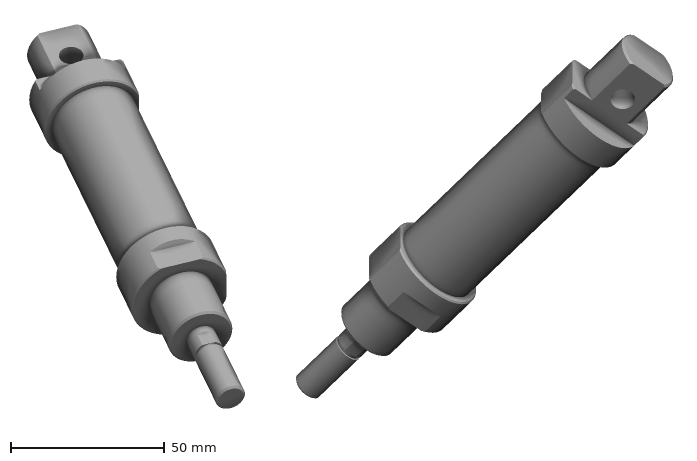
import cadquery as cq


collar_rear_x = 20.0
step_x = 25.2
barrel_start_x = 36.0
barrel_end_x = 107.2
front_flat_x = 115.0
front_face_x = 123.4
nose_end_x = 143.5
rod_flat_x = 146.5
groove_start_x = 151.3
groove_end_x = 152.5
rod_end_x = 173.5

cap_radius = 17.0
cap_side_flat_y = 15.6
cap_chamfer = 0.5
front_flat_height = 30.2
front_flat_slope = 0.6

tongue_radius = 11.0
tongue_thickness = 16.1
tongue_chamfer = 0.7
pivot_hole_diameter = 8.0
pivot_hole_x = 13.2

barrel_diameter = 29.0

nose_diameter = 22.0
nose_chamfer = 0.7

rod_radius = 5.0
rod_flat_height = 9.0
rod_flat_slope = 1.0
groove_radius = 4.3
rod_chamfer = 0.7


def rod_along_x(start_x, end_x, radius):
    """Solid cylinder on the X axis."""
    return cq.Workplane("YZ", origin=(start_x, 0, 0)).circle(radius).extrude(end_x - start_x)


def slab_cutters(start_x, end_x, height, start_slope=0.0):
    """Two prisms, above and below, that leave a slab of the given height.

    A start_slope of s leans the start face back towards -X by s units per unit of
    height, so the flats run out at an angle; zero gives a square step.
    """
    outer_z = 2 * cap_radius
    inner_z = height / 2
    outer_start_x = start_x - start_slope * (outer_z - inner_z)
    profile = [(start_x, inner_z), (end_x, inner_z), (end_x, outer_z), (outer_start_x, outer_z)]
    upper = cq.Workplane("XZ").polyline(profile).close().extrude(2 * cap_radius, both=True)
    return upper.union(upper.mirror("XY"))


def make_cap_disc(start_x, end_x):
    """Chamfered cap disc with one flat on its +Y side."""
    disc = rod_along_x(start_x, end_x, cap_radius).edges("%CIRCLE").chamfer(cap_chamfer)
    trim = cq.Workplane("XY").box(
        end_x - start_x, cap_radius, 2 * cap_radius, centered=(False, False, True)
    )
    return disc.cut(trim.translate((start_x, cap_side_flat_y, 0)))


def make_rear_cap():
    tongue = rod_along_x(0, step_x, tongue_radius).faces("<X").chamfer(tongue_chamfer)
    cap = make_cap_disc(collar_rear_x, barrel_start_x).union(tongue)
    cap = cap.cut(slab_cutters(0, step_x, tongue_thickness))
    pivot_hole = (
        cq.Workplane("XY")
        .center(pivot_hole_x, 0)
        .circle(pivot_hole_diameter / 2)
        .extrude(tongue_thickness, both=True)
    )
    return cap.cut(pivot_hole)


def make_barrel():
    return rod_along_x(barrel_start_x, barrel_end_x, barrel_diameter / 2)


def make_front_cap():
    disc = make_cap_disc(barrel_end_x, front_face_x)
    disc = disc.cut(slab_cutters(front_flat_x, front_face_x, front_flat_height, front_flat_slope))
    nose = rod_along_x(front_face_x, nose_end_x, nose_diameter / 2).faces(">X").chamfer(nose_chamfer)
    rod_bore = rod_along_x(barrel_end_x, nose_end_x, rod_radius)
    return disc.union(nose).cut(rod_bore)


def make_piston_rod():
    """Rod from the barrel end face to the tip, with wrench flats and a relief groove."""
    shank = rod_along_x(barrel_end_x, groove_start_x, rod_radius)
    shank = shank.cut(slab_cutters(rod_flat_x, groove_start_x, rod_flat_height, rod_flat_slope))
    neck = rod_along_x(groove_start_x, groove_end_x, groove_radius)
    threaded_end = rod_along_x(groove_end_x, rod_end_x, rod_radius).faces(">X").chamfer(rod_chamfer)
    return shank.union(neck).union(threaded_end)


rear_cap = make_rear_cap()
barrel = make_barrel()
front_cap = make_front_cap()
piston_rod = make_piston_rod()

result = cq.Compound.makeCompound([rear_cap.val(), barrel.val(), front_cap.val(), piston_rod.val()])